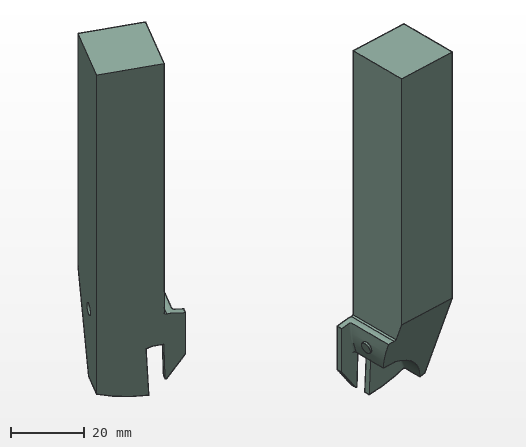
import cadquery as cq
import math

SHANK = 19.0
TOTAL_LENGTH = 113.3
TOTAL_DEPTH = 25.0

TAPER_START_Z = 33.1
TAPER_END_X = 10.9
TAPER_END_Z = 3.2

BLADE_THICKNESS = 1.8
BLADE_X = SHANK - BLADE_THICKNESS
ROOT_RADIUS = 0.6

SHOULDER_Z = 27.2
STEP_Z = 27.0
STEP_START_Y = 19.7
STEP_END_Y = 21.0
JAW_TOP_Z = 26.3

JAW_CORNER_Z = 12.1
JAW_TIP_Z = 4.6
JAW_TIP_OUTER_Y = 19.7
JAW_TIP_INNER_Y = 19.3

SEAT_ROOF_Z = 16.7
SEAT_OUTER_Y = 18.9
SEAT_INNER_Y = 13.9

LOWER_TIP_Y = 14.7
BOTTOM_MID = (7.9, 0.9)
FRONT_BOTTOM_Z = 3.4

BODY_TOP_Y = 21.8
BODY_MID = (21.4, 21.5)
BODY_LOW_Y = 20.2
UNDERCUT_START_Y = 15.6
UNDERCUT_MID = (7.7, 12.2)
UNDERCUT_END = (1.7, 2.8)

SCREW_DIAMETER = 3.5
SCREW_X = 11.0
SCREW_ENTRY_Z = 26.7
SCREW_TILT = 13.5
SCREW_DEPTH = 11.3
SCREW_LENGTH = 11.2
HOLE_MARGIN = 5.7


def side_sketch(x):
    """Sketch plane facing +X, with local coordinates (Y, Z)."""
    return cq.Workplane("YZ", origin=(x, 0, 0))


def shoulder_height(y):
    """Height of the outermost sloping shoulder face at depth y."""
    slope = (STEP_Z - JAW_TOP_Z) / (TOTAL_DEPTH - STEP_END_Y)
    return STEP_Z - slope * (y - STEP_END_Y)


def upper_outline(x):
    """Open outline from the shank's front edge to the end of the stepped shoulder."""
    return (
        side_sketch(x)
        .moveTo(0, FRONT_BOTTOM_Z)
        .lineTo(0, TOTAL_LENGTH)
        .lineTo(SHANK, TOTAL_LENGTH)
        .lineTo(SHANK, SHOULDER_Z)
        .lineTo(STEP_START_Y, STEP_Z)
        .lineTo(STEP_END_Y, STEP_Z)
    )


def make_body():
    """Full-width shank and head, with the curved outer face and undercut."""
    return (
        upper_outline(0)
        .lineTo(BODY_TOP_Y, shoulder_height(BODY_TOP_Y))
        .threePointArc(BODY_MID, (BODY_LOW_Y, SEAT_ROOF_Z))
        .lineTo(UNDERCUT_START_Y, SEAT_ROOF_Z)
        .threePointArc(UNDERCUT_MID, UNDERCUT_END)
        .close()
        .extrude(SHANK)
    )


def make_blade():
    """Thin plate with both jaws and the open insert seat between them."""
    return (
        upper_outline(BLADE_X)
        .lineTo(TOTAL_DEPTH, JAW_TOP_Z)
        .lineTo(TOTAL_DEPTH, JAW_CORNER_Z)
        .lineTo(JAW_TIP_OUTER_Y, JAW_TIP_Z)
        .lineTo(JAW_TIP_INNER_Y, JAW_TIP_Z)
        .lineTo(SEAT_OUTER_Y, SEAT_ROOF_Z)
        .lineTo(SEAT_INNER_Y, SEAT_ROOF_Z)
        .lineTo(LOWER_TIP_Y, 0)
        .threePointArc(BOTTOM_MID, (0, FRONT_BOTTOM_Z))
        .close()
        .extrude(BLADE_THICKNESS)
    )


def round_blade_roots(head):
    """Fillet the curved inside corners between the thick head and the blade."""
    arc_middles = (BODY_MID, UNDERCUT_MID)
    edges = []
    for y, z in arc_middles:
        nearest = head.edges("%CIRCLE").edges(cq.NearestToPointSelector((BLADE_X, y, z)))
        edges.append(nearest.val())
    return head.newObject(edges).fillet(ROOT_RADIUS)


def make_flank_cutter():
    """Wedge outside the tapered flank, running on below the head."""
    slope = TAPER_END_X / (TAPER_START_Z - TAPER_END_Z)
    return (
        cq.Workplane("XZ")
        .polyline([(0, TAPER_START_Z), (slope * TAPER_START_Z, 0), (0, 0)])
        .close()
        .extrude(-TOTAL_DEPTH)
    )


def screw_cylinder(start, length):
    """Cylinder on the screw axis, starting at a distance from the front face."""
    tilt = math.radians(SCREW_TILT)
    direction = cq.Vector(0, math.cos(tilt), -math.sin(tilt))
    base = cq.Vector(SCREW_X, 0, SCREW_ENTRY_Z) + direction * start
    return cq.Workplane(cq.Solid.makeCylinder(SCREW_DIAMETER / 2, length, base, direction))


def make_holder():
    hole_length = TOTAL_DEPTH + 2 * HOLE_MARGIN
    holder = round_blade_roots(make_body().union(make_blade()))
    holder = holder.cut(make_flank_cutter())
    return holder.cut(screw_cylinder(-HOLE_MARGIN, hole_length))


def make_set_screw():
    return screw_cylinder(SCREW_DEPTH, SCREW_LENGTH)


holder = make_holder()
set_screw = make_set_screw()

result = cq.Compound.makeCompound([holder.solids().val(), set_screw.val()])